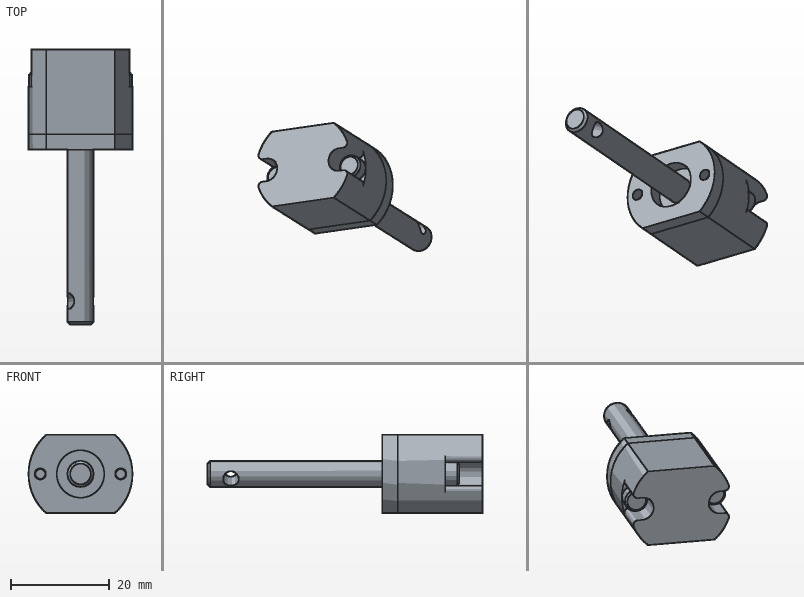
import cadquery as cq
import math

outer_diameter = 21.08
flat_height = 15.88
cap_thickness = 3.175
housing_length = 17.145
cap_bore_diameter = 9.6

joint_y = cap_thickness
rear_y = cap_thickness + housing_length

shaft_diameter = 5.28
shaft_reach = 35.38
shaft_chamfer = 0.55
shaft_socket_depth = 9.525
shaft_turn = 25.0
cross_hole_diameter = 3.175
cross_hole_from_end = 4.76

screw_offset = 8.13
shank_diameter = 2.26
shank_chamfer = 0.13
shank_recess = 2.4
head_diameter = 4.65
head_height = 2.84
head_chamfer = 0.4

pocket_depth = 7.62
pocket_width = 4.76
pocket_lip_radius = 0.92
head_seat_y = rear_y - pocket_depth


def rod(diameter, start_y, end_y, x=0.0):
    """Cylinder parallel to Y, from start_y to end_y."""
    plane = cq.Plane(origin=(x, start_y, 0), xDir=(1, 0, 0), normal=(0, 1, 0))
    return cq.Workplane(plane).circle(diameter / 2).extrude(end_y - start_y)


def flatted_round(start_y, end_y):
    """Block with the common outline."""
    length = end_y - start_y
    flats = cq.Workplane("XY").box(outer_diameter, length, flat_height)
    flats = flats.translate((0, (start_y + end_y) / 2, 0))
    return rod(outer_diameter, start_y, end_y).intersect(flats)


def head_pocket(side):
    """Slot with a round inner end around the screw axis, running out through the side."""
    run_out = outer_diameter / 2
    slot = cq.Workplane("XY").box(run_out, pocket_depth, pocket_width)
    slot = slot.translate((side * (screw_offset + run_out / 2), rear_y - pocket_depth / 2, 0))
    return rod(pocket_width, head_seat_y, rear_y, side * screw_offset).union(slot)


def build_cap():
    cap = flatted_round(0, joint_y).cut(rod(cap_bore_diameter, 0, joint_y))
    for side in (-1, 1):
        cap = cap.cut(rod(shank_diameter, 0, joint_y, side * screw_offset))
    return cap


def build_housing():
    housing = flatted_round(joint_y, rear_y)
    housing = housing.cut(rod(shaft_diameter, joint_y, joint_y + shaft_socket_depth))
    for side in (-1, 1):
        housing = housing.cut(head_pocket(side))
        housing = housing.cut(rod(shank_diameter, joint_y, head_seat_y, side * screw_offset))

    lip_x = math.sqrt((outer_diameter / 2) ** 2 - (pocket_width / 2) ** 2)
    lip_y = rear_y - pocket_depth / 2
    for x in (-lip_x, lip_x):
        for z in (-pocket_width / 2, pocket_width / 2):
            lip = cq.selectors.NearestToPointSelector((x, lip_y, z))
            housing = housing.edges("|Y").edges(lip).fillet(pocket_lip_radius)
    return housing


def build_shaft():
    shaft = rod(shaft_diameter, -shaft_reach, joint_y + shaft_socket_depth)
    shaft = shaft.faces("<Y").chamfer(shaft_chamfer)
    hole = cq.Workplane("YZ").circle(cross_hole_diameter / 2).extrude(shaft_diameter, both=True)
    hole = hole.translate((0, cross_hole_from_end - shaft_reach, 0))
    hole = hole.rotate((0, 0, 0), (0, 1, 0), shaft_turn)
    return shaft.cut(hole)


def build_screw(side):
    x = side * screw_offset
    shank = rod(shank_diameter, shank_recess, head_seat_y, x).faces("<Y").chamfer(shank_chamfer)
    head = rod(head_diameter, head_seat_y, head_seat_y + head_height, x)
    head = head.faces(">Y").chamfer(head_chamfer)
    return shank.union(head)


cap = build_cap()
housing = build_housing()
shaft = build_shaft()
screws = [build_screw(side) for side in (-1, 1)]

result = cq.Compound.makeCompound(
    [cap.val(), housing.val(), shaft.val(), *[screw.val() for screw in screws]]
)